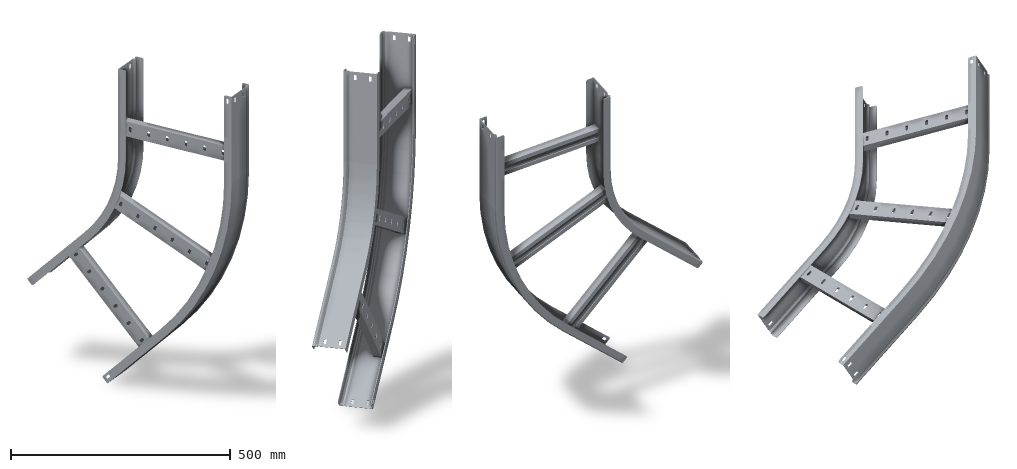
import cadquery as cq
import math

overall_height = 795.0
rail_depth = 80.0
bend_angle = 45.0
outer_radius = 600.0
inner_radius = 300.0
bend_radians = math.radians(bend_angle)
straight_length = (overall_height - outer_radius * math.sin(bend_radians)) / (1 + math.cos(bend_radians))

sheet = 1.5
flange_width = 20.0
flange_corner = 4.0
back_bend_radius = 4.0
bead_from_back = 10.0
bead_depth = 4.0
bead_floor = 1.5

rail_slot_width = 6.0
rail_slot_length = 12.0
slot_from_end = 13.5
web_slot_heights = (16.0, 52.0)
flange_slot_inset = 11.0

rung_height = 37.0
rung_front = 8.0
rung_depth = 19.0
rung_lip = 11.0
rung_beyond_bend = 67.5
rung_slot_width = 7.0
rung_slot_length = 14.0
rung_slot_count = 6
rung_slot_pitch = 49.0


def channel_outline(web_radius, inward, inset):
    """Closed outline of a rail's outside, set in by `inset`; `inward` is the X sign away from the web."""

    def at(from_web, y):
        return (web_radius + inward * from_web, y)

    shift = inset * math.tan(math.radians(22.5))
    floor = bead_floor / 2 + shift
    mouth = floor + bead_depth
    bead_y = rail_depth - bead_from_back
    arc_middle = back_bend_radius - (back_bend_radius - inset) * math.sqrt(0.5)
    return (
        cq.Workplane("XY")
        .moveTo(*at(flange_width, inset))
        .lineTo(*at(inset, inset))
        .lineTo(*at(inset, bead_y - mouth))
        .lineTo(*at(inset + bead_depth, bead_y - floor))
        .lineTo(*at(inset + bead_depth, bead_y + floor))
        .lineTo(*at(inset, bead_y + mouth))
        .lineTo(*at(inset, rail_depth - back_bend_radius))
        .threePointArc(at(arc_middle, rail_depth - arc_middle), at(back_bend_radius, rail_depth - inset))
        .lineTo(*at(flange_width, rail_depth - inset))
        .close()
    )


def leg(web_radius, inward, direction, flange_slot):
    """One straight leg along Z from the bend; `direction` is +1 up or -1 down."""
    outside, inside = (
        channel_outline(web_radius, inward, inset).extrude(direction * straight_length)
        for inset in (0, sheet)
    )
    free_edge = ">X" if inward > 0 else "<X"
    free_end = ">Z" if direction > 0 else "<Z"
    channel = outside.faces(free_edge).edges(free_end).fillet(flange_corner).cut(inside)
    return channel.cut(end_slots(web_radius, inward, direction * (straight_length - slot_from_end), flange_slot))


def about_bend(shape, angle):
    """Turns a shape about the bend axis, from the upper leg towards the lower one."""
    return shape.rotate((0, 0, 0), (0, 1, 0), angle)


def rail_slot(normal_plane):
    """Rectangular slot cutter along Z through one sheet thickness, centred at the origin."""
    return cq.Workplane(normal_plane).rect(rail_slot_width, rail_slot_length).extrude(2 * sheet, both=True)


def end_slots(web_radius, inward, z, flange_slot):
    """Cutters for one rail end: two web slots and, where wanted, one in the front flange."""
    cutters = cq.Workplane("XY")
    web_slot = rail_slot("YZ")
    for y in web_slot_heights:
        cutters = cutters.add(web_slot.translate((web_radius, y, z)))
    if flange_slot:
        x = web_radius + inward * flange_slot_inset
        cutters = cutters.add(rail_slot("XZ").translate((x, 0, z)))
    return cutters.combine()


def side_rail(web_radius, inward, flange_slot):
    """One bent rail: straight upper leg, 45 degree bend, straight lower leg."""
    outside, inside = (
        channel_outline(web_radius, inward, inset).revolve(bend_angle, (0, 0), (0, 1))
        for inset in (0, sheet)
    )
    upper = leg(web_radius, inward, 1, flange_slot)
    lower = about_bend(leg(web_radius, inward, -1, flange_slot), bend_angle)
    return upper.union(outside.cut(inside)).union(lower)


def rung(z):
    """Lipped channel along X, open to the back, with a row of slots in its front face."""
    start = inner_radius + sheet / 2
    end = outer_radius - sheet
    block = cq.Workplane("XY").box(end - start, rung_depth, rung_height, centered=(False, False, True))
    hollow = cq.Workplane("XY").box(
        end - start, rung_depth - 2 * sheet, rung_height - 2 * sheet, centered=(False, False, True)
    )
    mouth = cq.Workplane("XY").box(
        end - start, rung_depth, rung_height - 2 * rung_lip, centered=(False, False, True)
    )
    channel = block.cut(hollow.translate((0, sheet, 0))).cut(mouth.translate((0, sheet, 0)))
    slots = (
        cq.Workplane("XZ")
        .center((end - start) / 2, 0)
        .rarray(rung_slot_pitch, 8, rung_slot_count, 1)
        .slot2D(rung_slot_length, rung_slot_width, 90)
        .extrude(2 * sheet, both=True)
    )
    return channel.cut(slots).translate((start, rung_front, z))


inner_rail = side_rail(inner_radius, 1, False)
outer_rail = side_rail(outer_radius, -1, True)
rung_places = (
    (rung_beyond_bend, 0),
    (0, bend_angle / 2),
    (-rung_beyond_bend, bend_angle),
)
rungs = [
    about_bend(rung(z), angle).cut(inner_rail).cut(outer_rail)
    for z, angle in rung_places
]

result = cq.Compound.makeCompound([inner_rail.val(), outer_rail.val()] + [r.val() for r in rungs])